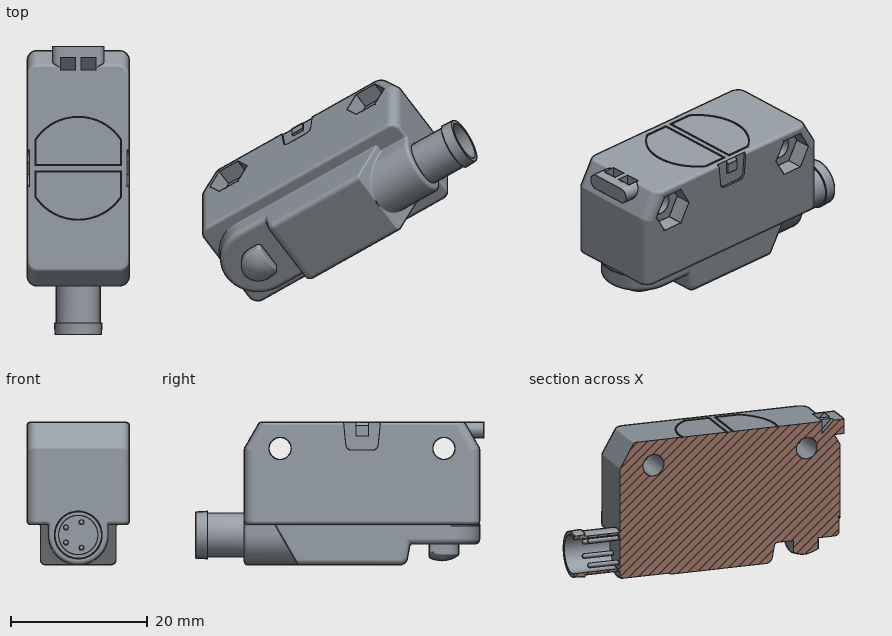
import cadquery as cq
import math

BODY_WIDTH = 15.0
BODY_LENGTH = 34.5
BODY_HEIGHT = 15.0
SLOPE_ANGLE = math.radians(60)
END_SLOPE_DROP = 3.85
CORNER_RADIUS = 1.5
EDGE_RADIUS = 0.5

TOTAL_HEIGHT = 20.9
BLOCK_WIDTH = 11.1
BLOCK_FRONT_TOP_Y = -12.75
SHELF_DEPTH = 2.85
STEP_TOP_Y = 7.05
STEP_BOTTOM_Y = 6.5
BLOCK_EDGE_RADIUS = 0.75
SLANT_EDGE_RADIUS = 0.25
STEP_CORNER_RADIUS = 1.1
JUNCTION_RADIUS = 0.2
STEP_ROOT_RADIUS = 0.4
BLOCK_EMBED = 1.0
REAR_FLAT_HALF = 0.01

SOCKET_AXIS_Z = -1.53
CONNECTOR_END_Y = -24.37
PIPE_RADIUS = 3.25
COLLAR_RADIUS = 3.5
COLLAR_END_RADIUS = 3.4
COLLAR_LENGTH = 1.7
BORE_RADIUS = 2.88
PIN_RADIUS = 0.35
PIN_TIP_RECESS = 2.4
PIN_X_OUTER = -1.8
PIN_Z_OUTER = 1.1
PIN_X_INNER = 0.48
PIN_Z_INNER = 1.87
BOSS_END_Y = -8.5
PIPE_ROOT_Y = -16.0

KNOB_RADIUS = 2.48
KNOB_FLAT_OFFSET = 1.85
KNOB_CORNER_RADIUS = 0.55
KNOB_EMBED = 0.5
KNOB_BOTTOM_Z = -5.3
KNOB_DOME_RADIUS = 4.0
KNOB_RIM_RADIUS = 0.25

GUIDE_WIDTH = 7.6
GUIDE_HEIGHT = 2.28
GUIDE_END_Y = 17.85
GUIDE_ROOT_Y = 14.0
WINDOW_WIDTH = 2.22
WINDOW_GAP = 0.82
WINDOW_REAR_Y = 16.2
WINDOW_FRONT_Y = 14.4
WINDOW_DEPTH = 1.8

LENS_RADIUS = 7.6
LENS_WIDTH = 12.6
LENS_GAP = 0.85
GROOVE_WIDTH = 0.12
GROOVE_DEPTH = 0.1

HOLE_DIAMETER = 3.2
HOLE_SPACING = 24.0
HOLE_Z = 11.15
NUT_ACROSS_FLATS = 5.65
NUT_DEPTH = 2.5

LATCH_TOP_WIDTH = 5.4
LATCH_BOTTOM_WIDTH = 4.6
LATCH_HEIGHT = 4.1
LATCH_DEPTH = 0.35
LATCH_CORNER_RADIUS = 0.9
LATCH_TAB_WIDTH = 1.83
LATCH_TAB_HEIGHT = 2.05

TOLERANCE = 0.01

HALF_WIDTH = BODY_WIDTH / 2
HALF_LENGTH = BODY_LENGTH / 2
END_SLOPE_INSET = END_SLOPE_DROP / math.tan(SLOPE_ANGLE)
BLOCK_BOTTOM_Z = BODY_HEIGHT - TOTAL_HEIGHT
BOSS_RADIUS = SOCKET_AXIS_Z - BLOCK_BOTTOM_Z
BLOCK_END_RADIUS = BLOCK_WIDTH / 2
KNOB_Y = HALF_LENGTH - BLOCK_END_RADIUS


def prism_along_x(points, width):
    """Extrude a (y, z) outline symmetrically about X = 0."""
    return cq.Workplane("YZ").polyline(points).close().extrude(width / 2, both=True)


def cylinder_along_y(radius, y_start, y_end, x=0.0, z=SOCKET_AXIS_Z):
    """Cylinder parallel to Y between two stations."""
    base = cq.Vector(x, y_start, z)
    direction = cq.Vector(0, math.copysign(1, y_end - y_start), 0)
    return cq.Workplane(cq.Solid.makeCylinder(radius, abs(y_end - y_start), base, direction))


def make_boss():
    """U-shaped boss under the housing that carries the connector."""
    boss_depth = HALF_LENGTH + BOSS_END_Y
    boss_web = (
        cq.Workplane("XY")
        .center(0, BOSS_END_Y - boss_depth / 2)
        .rect(2 * BOSS_RADIUS, boss_depth)
        .extrude(SOCKET_AXIS_Z)
    )
    return boss_web.union(cylinder_along_y(BOSS_RADIUS, -HALF_LENGTH, BOSS_END_Y))


def make_housing():
    """Box with sloped upper ends, joined to the connector boss below it."""
    shoulder_z = BODY_HEIGHT - END_SLOPE_DROP
    top_y = HALF_LENGTH - END_SLOPE_INSET
    housing = prism_along_x(
        [
            (-HALF_LENGTH, 0),
            (HALF_LENGTH, 0),
            (HALF_LENGTH, shoulder_z),
            (top_y, BODY_HEIGHT),
            (-top_y, BODY_HEIGHT),
            (-HALF_LENGTH, shoulder_z),
        ],
        BODY_WIDTH,
    )
    end_corners = housing.edges("|Z").add(housing.edges("(not |X) and (not |Y) and (not |Z)"))
    housing = end_corners.fillet(CORNER_RADIUS)
    housing = housing.faces(">Z").edges().fillet(EDGE_RADIUS)
    shoulder_edges = cq.selectors.BoxSelector(
        (-HALF_WIDTH, -BODY_LENGTH, shoulder_z - EDGE_RADIUS),
        (HALF_WIDTH, BODY_LENGTH, shoulder_z + EDGE_RADIUS),
    )
    housing = housing.edges("|X").edges(shoulder_edges).fillet(EDGE_RADIUS)

    housing = housing.union(make_boss())
    boss_side_junctions = cq.selectors.BoxSelector(
        (-BOSS_RADIUS - TOLERANCE, -HALF_LENGTH, -TOLERANCE),
        (BOSS_RADIUS + TOLERANCE, BOSS_END_Y - TOLERANCE, TOLERANCE),
    )
    housing = housing.edges("|Y").edges(boss_side_junctions).fillet(JUNCTION_RADIUS)

    underside_front_edges = cq.selectors.BoxSelector(
        (-BODY_WIDTH, -HALF_LENGTH - TOLERANCE, BLOCK_BOTTOM_Z),
        (BODY_WIDTH, -HALF_LENGTH + TOLERANCE, TOLERANCE),
    )
    return housing.edges(underside_front_edges).fillet(EDGE_RADIUS)


def make_lower_block():
    """Block under the housing: slanted front, stepped shelf and half-round rear."""
    slant_inset = -BLOCK_BOTTOM_Z / math.tan(SLOPE_ANGLE)
    embed_inset = BLOCK_EMBED / math.tan(SLOPE_ANGLE)
    block = prism_along_x(
        [
            (BLOCK_FRONT_TOP_Y - embed_inset, BLOCK_EMBED),
            (BLOCK_FRONT_TOP_Y + slant_inset, BLOCK_BOTTOM_Z),
            (STEP_BOTTOM_Y, BLOCK_BOTTOM_Z),
            (STEP_TOP_Y, -SHELF_DEPTH),
            (HALF_LENGTH, -SHELF_DEPTH),
            (HALF_LENGTH, BLOCK_EMBED),
        ],
        BLOCK_WIDTH,
    )
    block = block.edges("|Z and >Y").fillet(BLOCK_END_RADIUS - REAR_FLAT_HALF)
    step_corner = cq.selectors.NearestToPointSelector((0, STEP_BOTTOM_Y, BLOCK_BOTTOM_Z))
    block = block.edges(step_corner).fillet(STEP_CORNER_RADIUS)
    shelf = cq.selectors.NearestToPointSelector((0, KNOB_Y, -SHELF_DEPTH))
    bottom_rim = block.faces("<Z").edges("|Y")
    block = bottom_rim.add(block.faces(shelf).edges("not |X")).fillet(BLOCK_EDGE_RADIUS)
    step_root = cq.selectors.NearestToPointSelector((0, STEP_TOP_Y, -SHELF_DEPTH))
    block = block.edges(step_root).fillet(STEP_ROOT_RADIUS)
    return block.faces("<Y").edges("not >Z").fillet(SLANT_EDGE_RADIUS)


def make_underside():
    """Lower block and boss with rounded junctions between them and to the housing floor."""
    floor_size = 2 * BODY_LENGTH
    floor = cq.Workplane("XY").box(floor_size, floor_size, BLOCK_EMBED, centered=(True, True, False))
    underside = floor.union(make_lower_block()).union(make_boss())
    floor_junction = cq.selectors.BoxSelector(
        (-HALF_WIDTH, -HALF_LENGTH + TOLERANCE, -TOLERANCE),
        (HALF_WIDTH, BODY_LENGTH, TOLERANCE),
    )
    boss_junction = cq.selectors.BoxSelector(
        (-BOSS_RADIUS - TOLERANCE, BLOCK_FRONT_TOP_Y, BLOCK_BOTTOM_Z - TOLERANCE),
        (BOSS_RADIUS + TOLERANCE, BOSS_END_Y - TOLERANCE, -TOLERANCE),
    )
    junctions = underside.edges(floor_junction).add(underside.edges(boss_junction))
    underside = junctions.fillet(JUNCTION_RADIUS)
    keep_start_y = -HALF_LENGTH + 2 * EDGE_RADIUS
    keep = (
        cq.Workplane("XY")
        .center(0, (keep_start_y + HALF_LENGTH) / 2)
        .rect(BODY_WIDTH, HALF_LENGTH - keep_start_y)
        .extrude(-TOTAL_HEIGHT)
    )
    return underside.intersect(keep)


def make_knob():
    """D-shaped knob with a spherical end, hanging from the shelf."""
    knob_height = -KNOB_BOTTOM_Z - SHELF_DEPTH + KNOB_EMBED
    flat_y = KNOB_Y - KNOB_FLAT_OFFSET
    knob = (
        cq.Workplane("XY")
        .workplane(offset=KNOB_BOTTOM_Z)
        .moveTo(KNOB_RADIUS, flat_y)
        .lineTo(KNOB_RADIUS, KNOB_Y)
        .threePointArc((0, KNOB_Y + KNOB_RADIUS), (-KNOB_RADIUS, KNOB_Y))
        .lineTo(-KNOB_RADIUS, flat_y)
        .close()
        .extrude(knob_height)
    )
    knob = knob.edges("|Z and <Y").fillet(KNOB_CORNER_RADIUS)
    dome_center = (0, KNOB_Y, KNOB_BOTTOM_Z + KNOB_DOME_RADIUS)
    dome = cq.Workplane("XY").sphere(KNOB_DOME_RADIUS).translate(dome_center)
    knob = knob.intersect(dome)
    return knob.faces("<Z").edges().fillet(KNOB_RIM_RADIUS)


def make_connector():
    """Hollow round plug with a tapered collar at its mouth and four contact pins."""
    collar_start_y = CONNECTOR_END_Y + COLLAR_LENGTH
    pipe = cylinder_along_y(PIPE_RADIUS, PIPE_ROOT_Y, CONNECTOR_END_Y)
    collar = (
        cq.Workplane("XZ", origin=(0, collar_start_y, SOCKET_AXIS_Z))
        .circle(COLLAR_RADIUS)
        .workplane(offset=COLLAR_LENGTH)
        .circle(COLLAR_END_RADIUS)
        .loft()
    )
    bore = cylinder_along_y(BORE_RADIUS, -HALF_LENGTH, CONNECTOR_END_Y)
    connector = pipe.union(collar).cut(bore)
    tip_center_y = CONNECTOR_END_Y + PIN_TIP_RECESS + PIN_RADIUS
    for pin_x, pin_offset in ((PIN_X_OUTER, PIN_Z_OUTER), (PIN_X_INNER, PIN_Z_INNER)):
        for side in (-1, 1):
            pin_z = SOCKET_AXIS_Z + side * pin_offset
            pin = cylinder_along_y(PIN_RADIUS, PIPE_ROOT_Y, tip_center_y, pin_x, pin_z)
            tip = cq.Workplane("XY").sphere(PIN_RADIUS).translate((pin_x, tip_center_y, pin_z))
            connector = connector.union(pin).union(tip)
    return connector


def make_light_guide():
    """Bar with rounded sides protruding at the rear, flush with the top."""
    side_radius = GUIDE_HEIGHT / 2
    return (
        cq.Workplane("XZ", origin=(0, GUIDE_END_Y, BODY_HEIGHT - side_radius))
        .slot2D(GUIDE_WIDTH, GUIDE_HEIGHT)
        .extrude(GUIDE_END_Y - GUIDE_ROOT_Y)
    )


def make_guide_windows():
    """Two wedge pockets with floors sloping down towards the front."""
    windows = cq.Workplane("XY")
    for side in (-1, 1):
        wedge = prism_along_x(
            [
                (WINDOW_REAR_Y, BODY_HEIGHT),
                (WINDOW_FRONT_Y, BODY_HEIGHT),
                (WINDOW_FRONT_Y, BODY_HEIGHT - WINDOW_DEPTH),
            ],
            WINDOW_WIDTH,
        )
        windows = windows.union(wedge.translate((side * (WINDOW_WIDTH + WINDOW_GAP) / 2, 0, 0)))
    return windows


def lens_halves(inset):
    """Solids covering both lens halves, shrunk by inset, reaching down from the top."""
    half_span = LENS_RADIUS - LENS_GAP / 2
    disc = (
        cq.Workplane("XY", origin=(0, 0, BODY_HEIGHT - GROOVE_DEPTH))
        .circle(LENS_RADIUS - inset)
        .extrude(GROOVE_DEPTH)
    )
    half_centers = [(0, side * (LENS_GAP + half_span) / 2) for side in (-1, 1)]
    half_boxes = (
        cq.Workplane("XY", origin=(0, 0, BODY_HEIGHT - GROOVE_DEPTH))
        .pushPoints(half_centers)
        .rect(LENS_WIDTH - 2 * inset, half_span - 2 * inset)
        .extrude(GROOVE_DEPTH)
    )
    return disc.intersect(half_boxes)


def make_lens_grooves():
    """Fine grooves outlining the two lens halves."""
    return lens_halves(0).cut(lens_halves(GROOVE_WIDTH))


def make_mounting_cuts():
    """Two through holes along X, each with a hexagonal nut pocket on the -X side."""
    hole_centers = [(side * HOLE_SPACING / 2, HOLE_Z) for side in (-1, 1)]
    across_corners = NUT_ACROSS_FLATS / math.cos(math.radians(30))
    holes = (
        cq.Workplane("YZ", origin=(-HALF_WIDTH, 0, 0))
        .pushPoints(hole_centers)
        .circle(HOLE_DIAMETER / 2)
        .extrude(BODY_WIDTH)
    )
    pockets = (
        cq.Workplane("YZ", origin=(-HALF_WIDTH, 0, 0))
        .pushPoints(hole_centers)
        .polygon(6, across_corners)
        .extrude(NUT_DEPTH)
    )
    return holes.union(pockets)


def make_latch_recess():
    """Shallow recess in the +X side around a tab with a bevelled top."""
    floor_x = HALF_WIDTH - LATCH_DEPTH
    recess_bottom_z = BODY_HEIGHT - LATCH_HEIGHT
    recess = (
        cq.Workplane("YZ", origin=(floor_x, 0, 0))
        .moveTo(-LATCH_TOP_WIDTH / 2, BODY_HEIGHT)
        .lineTo(-LATCH_BOTTOM_WIDTH / 2, recess_bottom_z)
        .lineTo(LATCH_BOTTOM_WIDTH / 2, recess_bottom_z)
        .lineTo(LATCH_TOP_WIDTH / 2, BODY_HEIGHT)
        .close()
        .extrude(LATCH_DEPTH)
    )
    recess = recess.edges("|X and <Z").fillet(LATCH_CORNER_RADIUS)
    tab_bottom_z = BODY_HEIGHT - LATCH_TAB_HEIGHT
    tab = (
        cq.Workplane("XZ", origin=(0, LATCH_TAB_WIDTH / 2, 0))
        .moveTo(floor_x, tab_bottom_z)
        .lineTo(HALF_WIDTH, tab_bottom_z)
        .lineTo(HALF_WIDTH, BODY_HEIGHT - EDGE_RADIUS)
        .lineTo(floor_x, BODY_HEIGHT)
        .close()
        .extrude(LATCH_TAB_WIDTH)
    )
    return recess.cut(tab)


result = make_housing()
for detail in (make_underside(), make_knob(), make_connector(), make_light_guide()):
    result = result.union(detail)
latch_recess = make_latch_recess()
for cutter in (
    make_guide_windows(),
    make_lens_grooves(),
    make_mounting_cuts(),
    latch_recess,
    latch_recess.mirror("YZ"),
):
    result = result.cut(cutter)